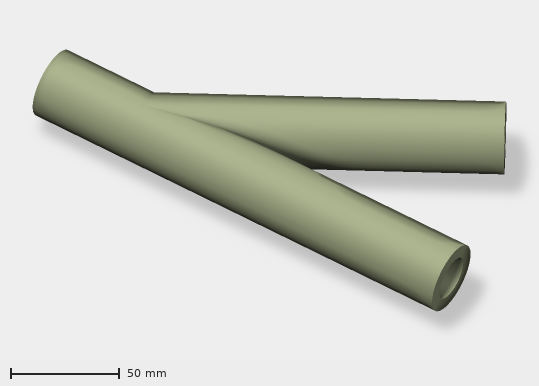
import cadquery as cq
import math

run_length = 216
outer_diameter = 33.5
bore_diameter = 20.7

branch_angle = math.radians(30)
branch_length = 165.2
junction_x = 50.5

run_plane = cq.Plane(origin=(0, 0, 0), xDir=(0, 0, 1), normal=(1, 0, 0))
branch_plane = cq.Plane(
    origin=(junction_x, 0, 0),
    xDir=(0, 0, 1),
    normal=(math.cos(branch_angle), math.sin(branch_angle), 0),
)


def wye(diameter):
    """Two joined cylinders along the axes of the run and the branch."""
    run = cq.Workplane(run_plane).circle(diameter / 2).extrude(run_length)
    branch = cq.Workplane(branch_plane).circle(diameter / 2).extrude(branch_length)
    return run.union(branch)


result = wye(outer_diameter).cut(wye(bore_diameter))